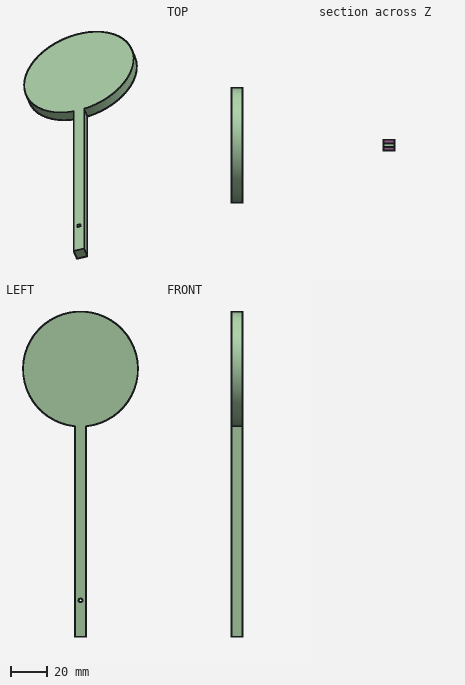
import cadquery as cq

total_height = 178.6
disc_diameter = 63.2
thickness = 6.0
hole_diameter = 2.0
hole_height = 20.0

disc_center_height = total_height - disc_diameter / 2


def make_disc():
    """Round flat disc whose axis runs along X."""
    return (
        cq.Workplane("YZ")
        .center(0, disc_center_height)
        .circle(disc_diameter / 2)
        .extrude(thickness / 2, both=True)
    )


def make_handle():
    """Square bar reaching up to the disc centre, so that the two fuse."""
    return cq.Workplane("XY").rect(thickness, thickness).extrude(disc_center_height)


def make_hole():
    """Cutter for the cross hole through the lower end of the handle."""
    return (
        cq.Workplane("YZ")
        .center(0, hole_height)
        .circle(hole_diameter / 2)
        .extrude(thickness, both=True)
    )


result = make_disc().union(make_handle()).cut(make_hole())